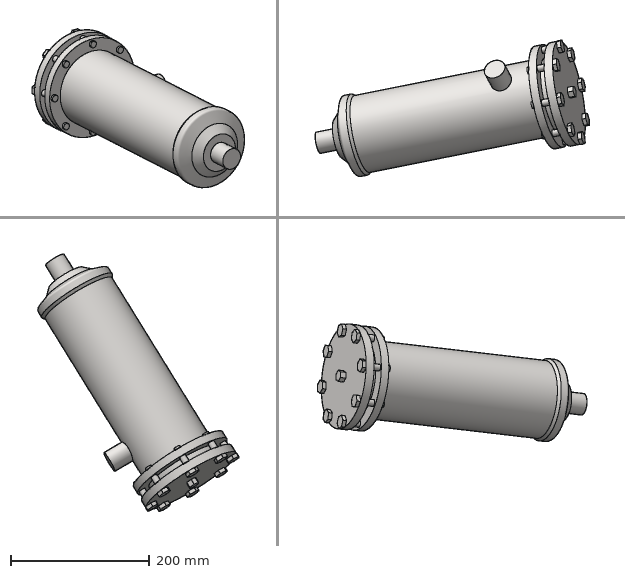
import cadquery as cq
import math

TOTAL_LENGTH = 390.5
CENTRE_HEAD_TIP = 0.0
RIM_HEAD_TIP = 2.7
COVER_START = 8.5
COVER_END = 21.5
FLANGE_START = 33.0
FLANGE_END = 45.3
BOLT_END = 49.0
CAP_START = 323.7
CAP_BAND_START = 328.5
CONE_BREAK = 348.5
CAP_END = 360.0

COVER_DIAMETER = 153.0
FLANGE_DIAMETER = 152.0
BODY_DIAMETER = 114.0
CAP_DIAMETER = 120.3
CONE_BREAK_DIAMETER = 81.5
CAP_END_DIAMETER = 57.0
PIPE_DIAMETER = 31.5

SHOULDER_START = 337.8
SHOULDER_RADIUS = 4.0
STEEP_CONE_ANGLE = math.radians(68)

HEX_SIDES = 6
HALF_HEX_ANGLE = 180 / HEX_SIDES
BOLT_COUNT = 8
BOLT_CIRCLE_RADIUS = 68.5
BOLT_DIAMETER = 10.0
RIM_HEAD_FLATS = 17.0
CENTRE_HEAD_FLATS = 15.0

PORT_X = 93.5
PORT_REACH = 87.0


def cylinder(start, end, diameter):
    """Solid cylinder on the X axis between two stations."""
    return cq.Workplane("YZ", origin=(start, 0, 0)).circle(diameter / 2).extrude(end - start)


def hex_head(start, end, flats):
    """Hexagonal head on the X axis, with two flats square to Y."""
    corners = flats / math.cos(math.radians(HALF_HEX_ANGLE))
    head = cq.Workplane("YZ", origin=(start, 0, 0)).polygon(HEX_SIDES, corners).extrude(end - start)
    return head.rotate((0, 0, 0), (1, 0, 0), HALF_HEX_ANGLE)


def end_cap():
    """Revolved cap: short taper, straight band, rounded shoulder and two cones."""
    band_radius = CAP_DIAMETER / 2

    def shoulder_point(angle):
        x = SHOULDER_START + SHOULDER_RADIUS * math.sin(angle)
        radius = band_radius - SHOULDER_RADIUS * (1 - math.cos(angle))
        return x, radius

    return (
        cq.Workplane("XY")
        .moveTo(CAP_START, 0)
        .lineTo(CAP_START, BODY_DIAMETER / 2)
        .lineTo(CAP_BAND_START, band_radius)
        .lineTo(SHOULDER_START, band_radius)
        .threePointArc(shoulder_point(STEEP_CONE_ANGLE / 2), shoulder_point(STEEP_CONE_ANGLE))
        .lineTo(CONE_BREAK, CONE_BREAK_DIAMETER / 2)
        .lineTo(CAP_END, CAP_END_DIAMETER / 2)
        .lineTo(CAP_END, 0)
        .close()
        .revolve(360, (0, 0, 0), (1, 0, 0))
    )


def rim_bolt(angle):
    """Bolt through cover and flange, with a flat of its head facing outward."""
    head = hex_head(RIM_HEAD_TIP, COVER_START, RIM_HEAD_FLATS)
    shank = cylinder(COVER_START, BOLT_END, BOLT_DIAMETER)
    bolt = head.union(shank).translate((0, BOLT_CIRCLE_RADIUS, 0))
    return bolt.rotate((0, 0, 0), (1, 0, 0), angle)


def side_port():
    """Branch pipe from the body axis out along +Y."""
    return (
        cq.Workplane("XZ", origin=(PORT_X, 0, 0))
        .circle(PIPE_DIAMETER / 2)
        .extrude(-PORT_REACH)
    )


result = cylinder(COVER_START, COVER_END, COVER_DIAMETER)
result = result.union(cylinder(COVER_END, CAP_START, BODY_DIAMETER))
result = result.union(cylinder(FLANGE_START, FLANGE_END, FLANGE_DIAMETER))
result = result.union(end_cap())
result = result.union(cylinder(CAP_END, TOTAL_LENGTH, PIPE_DIAMETER))
result = result.union(side_port())

result = result.union(hex_head(CENTRE_HEAD_TIP, COVER_START, CENTRE_HEAD_FLATS))
for index in range(BOLT_COUNT):
    result = result.union(rim_bolt(index * 360 / BOLT_COUNT))